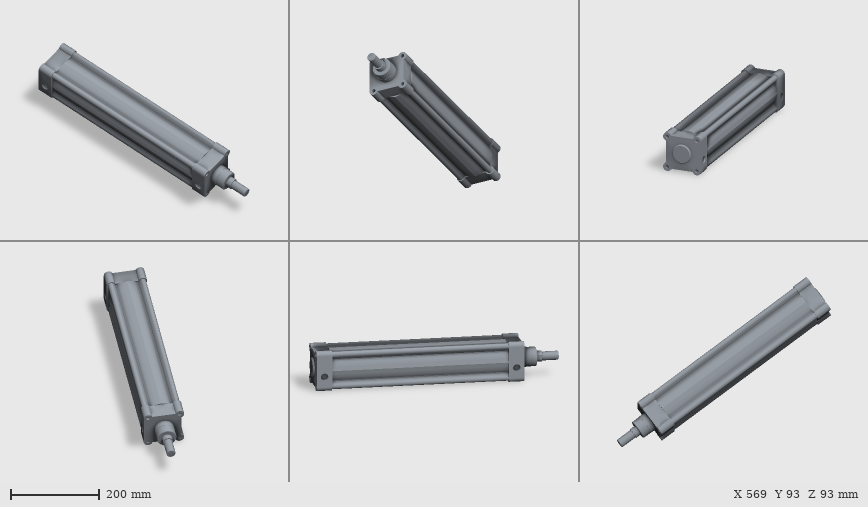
import cadquery as cq
import math

total_length = 569.0
rear_boss_length = 4.0
cap_length = 36.0
tube_length = 407.0

bolt_offset = 36.5
lobe_radius = 10.0
cap_half_width = 40.0
bolt_hole_radius = 4.25
bolt_hole_depth = 16.0
port_radius = 8.5
port_depth = 14.0
port_z = -12.5

boss_radius = 23.0
boss_chamfer = 2.0
nose_collar_length = 13.5
nose_radius = 22.0
nose_length = 34.0
nose_chamfer = 1.0

tube_radius = 42.5
ridge_half_width = 9.5
valley_half_width = 23.5
rib_offset = 37.0
rib_radius = 7.0

rod_radius = 12.5
rod_collar_length = 1.5
wrench_flat_length = 11.5
wrench_flat_offset = 11.5
neck_radius = 9.5
neck_length = 1.5
thread_radius = 10.0
thread_chamfer = 1.0

rear_cap_start = rear_boss_length
tube_start = rear_cap_start + cap_length
front_cap_start = tube_start + tube_length
front_cap_end = front_cap_start + cap_length
nose_end = front_cap_end + nose_length

corners = [(y, z) for y in (-bolt_offset, bolt_offset) for z in (-bolt_offset, bolt_offset)]


def section(x):
    """Workplane across the axis at x, with local x along +Y and local y along +Z."""
    return cq.Workplane("YZ", origin=(x, 0, 0))


def cylinder(start, length, radius):
    return section(start).circle(radius).extrude(length)


def cap_block(start, y_min, y_max, half_height):
    """Plain block as long as a cap, centred on the axis in Z."""
    return (
        section(start)
        .center((y_min + y_max) / 2, 0)
        .rect(y_max - y_min, 2 * half_height)
        .extrude(cap_length)
    )


def end_cap(start):
    """Square block with four lobes, filled out flush with the lobes on the -Y side, where the port is."""
    flush_y = -(bolt_offset + lobe_radius)
    core = cap_block(start, -bolt_offset, cap_half_width, cap_half_width)
    flush_fill = cap_block(start, flush_y, 0, bolt_offset)
    lobes = section(start).pushPoints(corners).circle(lobe_radius).extrude(cap_length)
    port = (
        cq.Workplane("XZ", origin=(start + cap_length / 2, flush_y, port_z))
        .circle(port_radius)
        .extrude(-port_depth)
    )
    return core.union(flush_fill).union(lobes).cut(port)


def bolt_holes(start, depth):
    """Four blind holes from the cap face at start; a negative depth runs toward -X."""
    return section(start).pushPoints(corners).circle(bolt_hole_radius).extrude(depth)


def make_rear_cap():
    boss = cylinder(0, rear_boss_length, boss_radius).faces("<X").chamfer(boss_chamfer)
    return end_cap(rear_cap_start).cut(bolt_holes(rear_cap_start, bolt_hole_depth)).union(boss)


def make_front_cap():
    collar = cylinder(front_cap_end, nose_collar_length, boss_radius)
    nose = cylinder(front_cap_end, nose_length, nose_radius).faces(">X").chamfer(nose_chamfer)
    cap = end_cap(front_cap_start).cut(bolt_holes(front_cap_end, -bolt_hole_depth))
    return cap.union(collar).union(nose)


def make_tube():
    """Bar with a shallow ridge along the middle of each side and a round rib at each corner."""
    ridge_edge = (ridge_half_width, math.sqrt(tube_radius**2 - ridge_half_width**2))
    ridge_peak = (0, tube_radius**2 / ridge_edge[1])
    valley_edge = (valley_half_width, math.sqrt(tube_radius**2 - valley_half_width**2))
    ridge_angle = math.asin(ridge_half_width / tube_radius)
    valley_angle = math.asin(valley_half_width / tube_radius)
    arc_angle = (ridge_angle + valley_angle) / 2
    arc_middle = (tube_radius * math.sin(arc_angle), tube_radius * math.cos(arc_angle))

    diagonal_step = rib_radius / math.sqrt(2)
    neck_foot = (valley_edge[1] - 2 * diagonal_step, valley_edge[1])
    neck_top = (rib_offset - diagonal_step, rib_offset + diagonal_step)
    rib_tip = (rib_offset + diagonal_step, rib_offset + diagonal_step)
    rib_end = (neck_top[1], neck_top[0])

    def turned(point, quarter_turns):
        """The point turned clockwise about the axis."""
        for _ in range(quarter_turns):
            point = (point[1], -point[0])
        return point

    def mirrored(point):
        return (-point[0], point[1])

    profile = section(tube_start).moveTo(*mirrored(neck_top))
    for side in range(4):
        for point in (neck_foot, valley_edge):
            profile = profile.lineTo(*turned(mirrored(point), side))
        profile = profile.threePointArc(
            turned(mirrored(arc_middle), side), turned(mirrored(ridge_edge), side)
        )
        for point in (ridge_peak, ridge_edge):
            profile = profile.lineTo(*turned(point, side))
        profile = profile.threePointArc(turned(arc_middle, side), turned(valley_edge, side))
        for point in (neck_foot, neck_top):
            profile = profile.lineTo(*turned(point, side))
        profile = profile.threePointArc(turned(rib_tip, side), turned(rib_end, side))
    return profile.close().extrude(tube_length)


def make_rod():
    """Rod end with a collar, wrench flats facing -Y and +Y, a neck and a chamfered threaded end."""
    flats_start = nose_end + rod_collar_length
    flats_end = flats_start + wrench_flat_length
    thread_start = flats_end + neck_length
    collar = cylinder(nose_end, rod_collar_length, rod_radius)
    flats = (
        section(flats_start)
        .rect(2 * wrench_flat_offset, 2 * rod_radius)
        .extrude(wrench_flat_length)
        .intersect(cylinder(flats_start, wrench_flat_length, rod_radius))
    )
    neck = cylinder(flats_end, neck_length, neck_radius)
    thread = cylinder(thread_start, total_length - thread_start, thread_radius)
    thread = thread.faces(">X").chamfer(thread_chamfer)
    return collar.union(flats).union(neck).union(thread)


rear_cap = make_rear_cap().solids()
tube = make_tube().solids()
front_cap = make_front_cap().solids()
rod = make_rod().solids()

result = cq.Compound.makeCompound([rear_cap.val(), tube.val(), front_cap.val(), rod.val()])